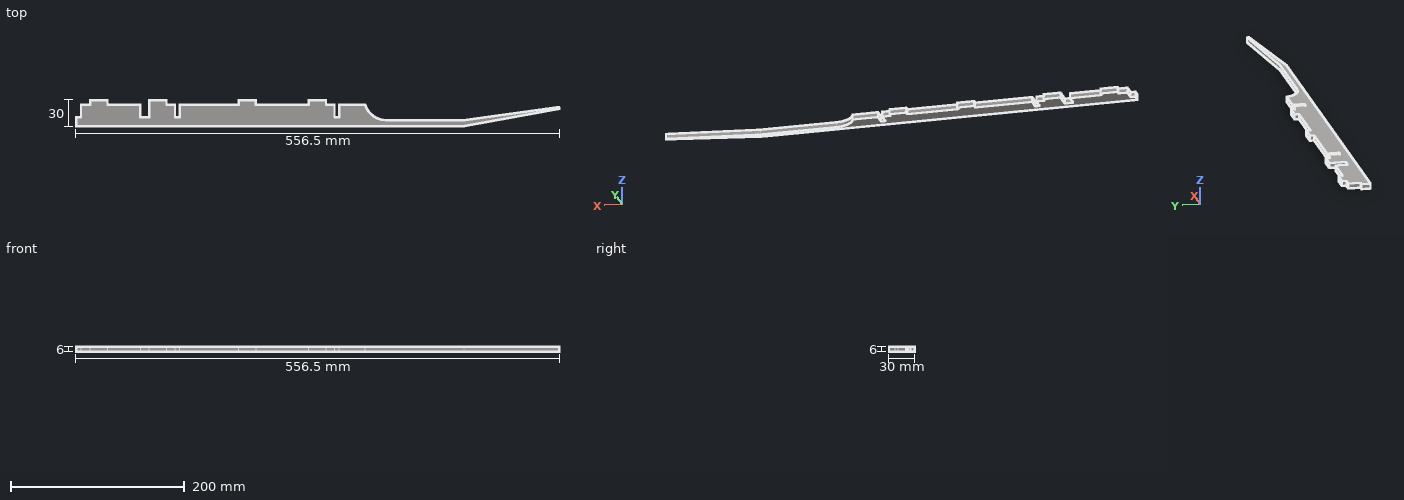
import cadquery as cq
import math

length = 556.5
thickness = 6.0
body_height = 25.0
tab_rise = 5.0
tab_height = body_height + tab_rise
notch_floor = 10.5

end_step = 5.5
body_end = 332.5
tab_width = 20.0
tab_starts = [16.0, 84.0, 187.0, 267.5]
wide_slot_width = 10.0
wide_slot_start = tab_starts[1] - wide_slot_width
narrow_slot_width = 5.0
tab_to_slot = 10.0

arm_height = 7.0
fillet_radius = 25.0
bend_x = 447.0
bend_shift = 1.0
tip_top_y = 22.0
tip_bottom_y = 20.0
tip_slant = 0.5

arc_drop = body_height - arm_height
arc_run = math.sqrt(fillet_radius**2 - (fillet_radius - arc_drop) ** 2)
arc_end = body_end + arc_run


def block(start, width, bottom, top):
    """Full-thickness rectangular block in the plate's plane."""
    return cq.Workplane("XY").box(width, top - bottom, thickness, centered=False).translate((start, bottom, 0))


def base_plate():
    """Body, concave transition and bent arm as one outline."""
    return (
        cq.Workplane("XY")
        .lineTo(bend_x - bend_shift, 0)
        .lineTo(length, tip_bottom_y)
        .lineTo(length - tip_slant, tip_top_y)
        .lineTo(bend_x, arm_height)
        .lineTo(arc_end, arm_height)
        .radiusArc((body_end, body_height), fillet_radius)
        .lineTo(end_step, body_height)
        .lineTo(end_step, notch_floor)
        .lineTo(0, notch_floor)
        .close()
        .extrude(thickness)
    )


result = base_plate()

for tab_start in tab_starts:
    result = result.union(block(tab_start, tab_width, notch_floor, tab_height))

result = result.cut(block(wide_slot_start, wide_slot_width, notch_floor, tab_height))

for tab_start in (tab_starts[1], tab_starts[-1]):
    slot_start = tab_start + tab_width + tab_to_slot
    result = result.cut(block(slot_start, narrow_slot_width, notch_floor, tab_height))